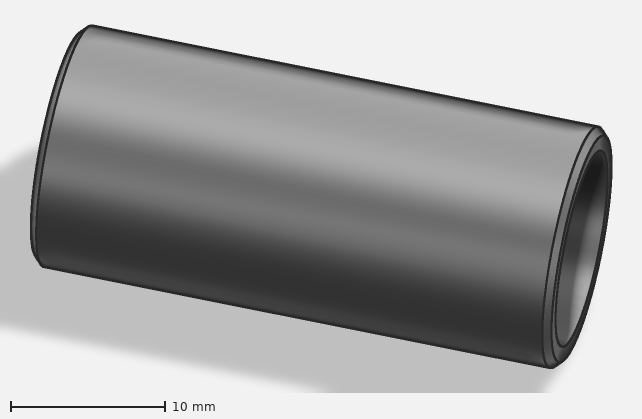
import cadquery as cq

length = 35.0
outer_diameter = 16.0
bore_diameter = 13.0
edge_chamfer = 0.5

body = (
    cq.Workplane("YZ", origin=(-length / 2, 0, 0))
    .circle(outer_diameter / 2)
    .extrude(length)
    .edges("%CIRCLE")
    .chamfer(edge_chamfer)
)

bore = (
    cq.Workplane("YZ", origin=(-length / 2, 0, 0))
    .circle(bore_diameter / 2)
    .extrude(length)
)

result = body.cut(bore)